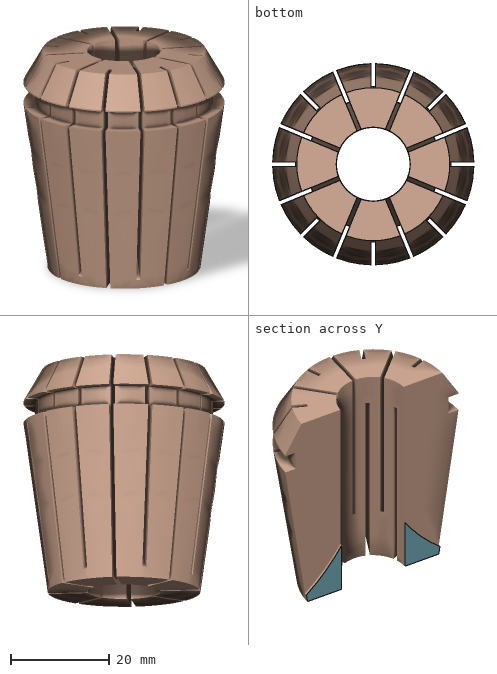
import cadquery as cq
import math

height = 46.0
outer_diameter = 41.0
bore_radius = 7.5
neck_radius = 18.1
groove_bottom = 34.95
groove_top = 39.1
rim_top = 39.38
body_half_angle = 8.0
nose_half_angle = 30.0

slot_width = 0.87
slots_per_end = 8
saw_radius = 40.0
top_saw_offset = 41.4
top_saw_height = 32.7
bottom_saw_offset = 40.0
bottom_saw_height = 16.0

outer_radius = outer_diameter / 2
base_radius = outer_radius - groove_bottom * math.tan(math.radians(body_half_angle))
nose_radius = outer_radius - (height - rim_top) * math.tan(math.radians(nose_half_angle))
slot_pitch = 360.0 / slots_per_end


def collet_body():
    """Revolve the half profile: tapered body, extraction groove, rim and conical nose."""
    profile = [
        (bore_radius, 0),
        (base_radius, 0),
        (outer_radius, groove_bottom),
        (neck_radius, groove_bottom),
        (neck_radius, groove_top),
        (outer_radius, groove_top),
        (outer_radius, rim_top),
        (nose_radius, height),
        (bore_radius, height),
    ]
    return cq.Workplane("XZ").polyline(profile).close().revolve(360, (0, 0, 0), (0, 1, 0))


def saw_cuts(saw_offset, saw_height, first_angle):
    """Discs in planes through the Z axis; each leaves a slot with a curved floor."""
    saw = (
        cq.Workplane("XZ")
        .center(saw_offset, saw_height)
        .circle(saw_radius)
        .extrude(slot_width / 2, both=True)
    )
    cuts = cq.Workplane("XY")
    for index in range(slots_per_end):
        cuts = cuts.add(saw.rotate((0, 0, 0), (0, 0, 1), first_angle + index * slot_pitch))
    return cuts.vals()


top_cuts = saw_cuts(top_saw_offset, top_saw_height, 0)
bottom_cuts = saw_cuts(bottom_saw_offset, bottom_saw_height, slot_pitch / 2)

result = collet_body()
for disc in top_cuts + bottom_cuts:
    result = result.cut(cq.Workplane(disc))